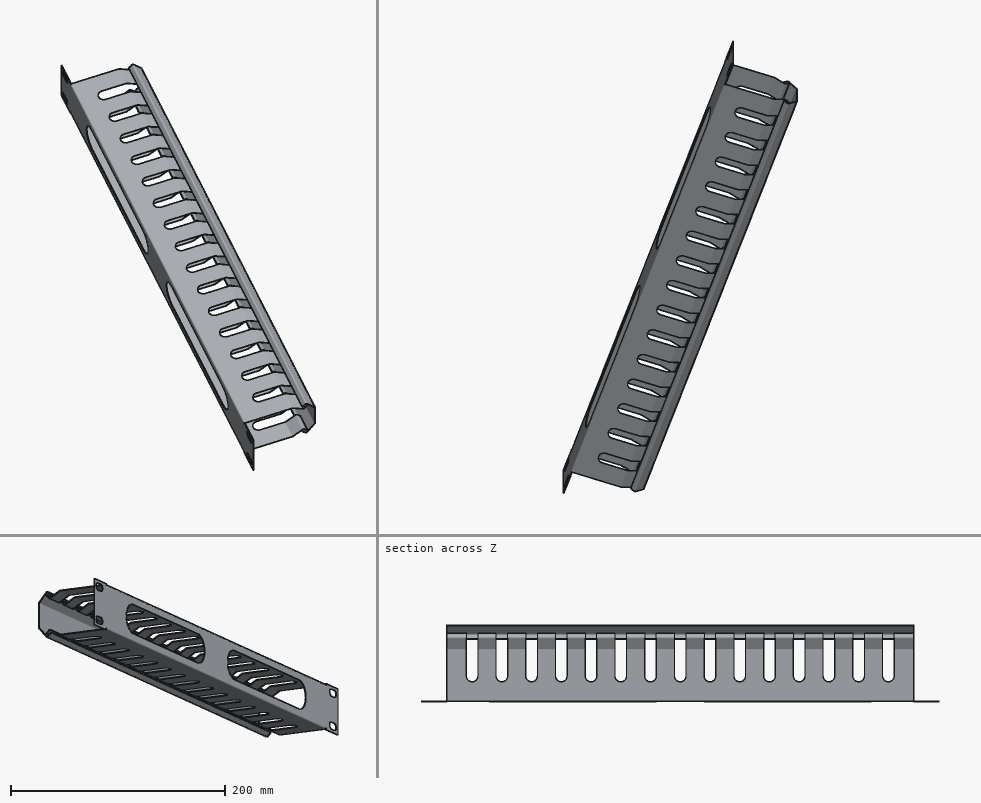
import cadquery as cq
import math

SHEET = 1.0
INNER_BEND_RADIUS = 0.4

PLATE_LENGTH = 483.0
PLATE_HEIGHT = 44.5

MOUNT_SLOT_LENGTH = 13.0
MOUNT_SLOT_HEIGHT = 7.0
MOUNT_SLOT_X = 232.0
MOUNT_SLOT_Z = 16.0

WINDOW_LENGTH = 155.5
WINDOW_HEIGHT = 28.0
WINDOW_X = 100.5

CHANNEL_LENGTH = 436.5
WALL_HALF_HEIGHT = 21.5
FINGER_BEND_Y = 49.5
FINGER_SLOPE = math.radians(30)
VALLEY_Y = 60.0
HOOK_RISE = 4.0

GAP_COUNT = 15
GAP_SPAN = 389.0
GAP_PITCH = GAP_SPAN / (GAP_COUNT - 1)
GAP_WIDTH = 10.5
GAP_START_Y = 19.0

COVER_BACK_Y = 72.0
COVER_FLAT_HALF_HEIGHT = 12.0
COVER_RIDGE_Y = 63.0
COVER_RIDGE_Z = 22.5
LIP_DROP = 4.5


def offset_line(points):
    """Shift an open polyline sideways by one sheet thickness, to the right of its direction."""
    directions = []
    for (y0, z0), (y1, z1) in zip(points, points[1:]):
        directions.append(math.atan2(z1 - z0, y1 - y0))
    before = [directions[0]] + directions
    after = directions + [directions[-1]]
    shifted = []
    for (y, z), a, b in zip(points, before, after):
        miter = SHEET / math.cos((b - a) / 2)
        heading = (a + b) / 2
        shifted.append((y + miter * math.sin(heading), z - miter * math.cos(heading)))
    return shifted


def bent_sheet(face_points):
    """Sheet along X whose left-hand face follows the YZ points, with every bend rounded."""
    back_points = offset_line(face_points)
    outline = cq.Workplane("YZ").polyline(face_points + back_points[::-1]).close()
    sheet = outline.extrude(CHANNEL_LENGTH / 2, both=True)
    corners = zip(face_points, face_points[1:], face_points[2:], back_points[1:])
    for (y0, z0), (y1, z1), (y2, z2), back in corners:
        turn = (y1 - y0) * (z2 - z1) - (z1 - z0) * (y2 - y1)
        inner, outer = ((y1, z1), back) if turn > 0 else (back, (y1, z1))
        sheet = round_bend(sheet, inner, INNER_BEND_RADIUS)
        sheet = round_bend(sheet, outer, INNER_BEND_RADIUS + SHEET)
    return sheet


def round_bend(sheet, corner, radius):
    """Fillet the edge along X that passes nearest to a YZ corner."""
    nearest = cq.selectors.NearestToPointSelector((0, *corner))
    return sheet.edges("|X").edges(nearest).fillet(radius)


def with_lower_half(upper):
    return upper.union(upper.mirror("XY"))


def plate_openings(length, height, centres):
    """Round-ended cutters through the front plate."""
    return cq.Workplane("XZ").pushPoints(centres).slot2D(length, height).extrude(-SHEET)


def make_walls():
    """Both walls bent out of the middle of the front plate, with sloping hooked edges."""
    valley_z = WALL_HALF_HEIGHT - (VALLEY_Y - FINGER_BEND_Y) * math.tan(FINGER_SLOPE)
    upper_half = bent_sheet([
        (0, 0),
        (0, WALL_HALF_HEIGHT),
        (FINGER_BEND_Y, WALL_HALF_HEIGHT),
        (VALLEY_Y, valley_z),
        (VALLEY_Y + HOOK_RISE, valley_z + HOOK_RISE),
    ])
    return with_lower_half(upper_half)


def make_ears():
    """Full-height plate ends on both sides of the channel."""
    ear_length = (PLATE_LENGTH - CHANNEL_LENGTH) / 2
    ear_x = (PLATE_LENGTH - ear_length) / 2
    return (
        cq.Workplane("XY", origin=(0, SHEET / 2, 0))
        .pushPoints([(-ear_x, 0), (ear_x, 0)])
        .box(ear_length, SHEET, PLATE_HEIGHT)
    )


def make_finger_gaps():
    """Round-bottomed gaps between the fingers, open at the finger tips."""
    gap_length = COVER_BACK_Y - GAP_START_Y
    return (
        cq.Workplane("XY", origin=(0, GAP_START_Y + gap_length / 2, 0))
        .rarray(GAP_PITCH, 5, GAP_COUNT, 1)
        .slot2D(gap_length, GAP_WIDTH, 90)
        .extrude(PLATE_HEIGHT / 2, both=True)
    )


def make_channel():
    sides = (-1, 1)
    mount_centres = [(side * MOUNT_SLOT_X, level * MOUNT_SLOT_Z) for side in sides for level in sides]
    window_centres = [(side * WINDOW_X, 0) for side in sides]
    return (
        make_walls()
        .union(make_ears())
        .cut(make_finger_gaps())
        .cut(plate_openings(MOUNT_SLOT_LENGTH, MOUNT_SLOT_HEIGHT, mount_centres))
        .cut(plate_openings(WINDOW_LENGTH, WINDOW_HEIGHT, window_centres))
    )


def make_cover():
    """Back strip, sloping sides and folded-back lips as one bent sheet."""
    upper_half = bent_sheet([
        (COVER_RIDGE_Y - LIP_DROP, COVER_RIDGE_Z - LIP_DROP),
        (COVER_RIDGE_Y, COVER_RIDGE_Z),
        (COVER_BACK_Y, COVER_FLAT_HALF_HEIGHT),
        (COVER_BACK_Y, 0),
    ])
    return with_lower_half(upper_half)


channel = make_channel()
cover = make_cover()
result = cq.Compound.makeCompound([channel.val(), cover.val()])